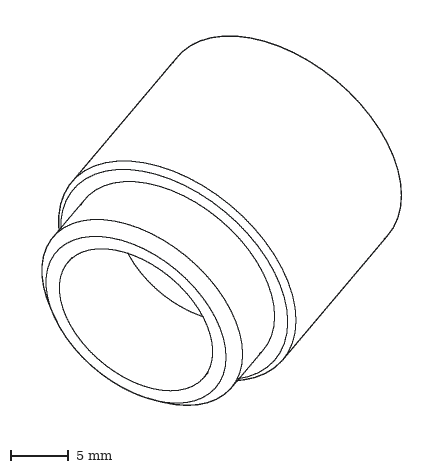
import cadquery as cq

total_length = 25.0
body_diameter = 24.0
body_chamfer = 0.52

spigot_diameter = 20.3
spigot_length = 6.5
spigot_chamfer = 1.05

bore_diameter = 15.5
narrow_bore_length = 10.0
wide_bore_diameter = 18.25

front_y = -total_length / 2
shoulder_y = front_y + spigot_length
back_y = total_length / 2


def cylinder_along_y(diameter, start_y, end_y):
    """Solid cylinder centred on the Y axis between two Y positions."""
    base = cq.Workplane("XZ").workplane(offset=-end_y)
    return base.circle(diameter / 2).extrude(end_y - start_y)


body = cylinder_along_y(body_diameter, shoulder_y, back_y)
body = body.faces("<Y").chamfer(body_chamfer)
spigot = cylinder_along_y(spigot_diameter, front_y, back_y)
spigot = spigot.faces("<Y").chamfer(spigot_chamfer)

narrow_bore = cylinder_along_y(bore_diameter, front_y, back_y)
wide_bore = cylinder_along_y(wide_bore_diameter, front_y + narrow_bore_length, back_y)

result = body.union(spigot).cut(narrow_bore).cut(wide_bore)